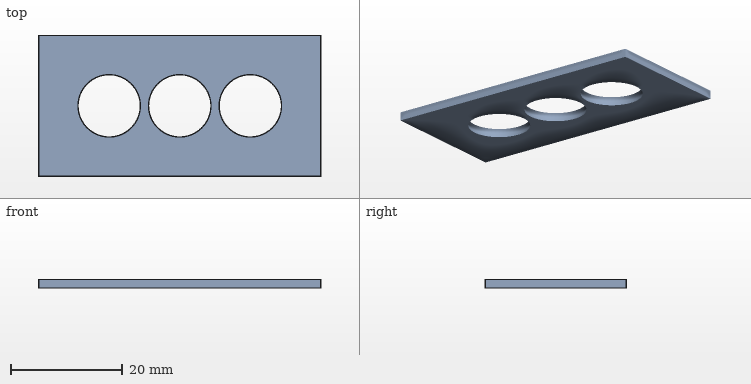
import cadquery as cq

plate_length = 50.8
plate_width = 25.4
plate_thickness = 1.57

hole_diameter = 11.18
hole_count = 3
hole_pitch = plate_length / 4


def make_plate():
    """Flat rectangular plate centred on the origin."""
    return cq.Workplane("XY").box(plate_length, plate_width, plate_thickness)


def cut_hole_row(plate):
    """Cut the evenly spaced round holes through the plate."""
    return (
        plate.faces(">Z")
        .workplane()
        .rarray(hole_pitch, plate_width, hole_count, 1)
        .hole(hole_diameter)
    )


result = cut_hole_row(make_plate())